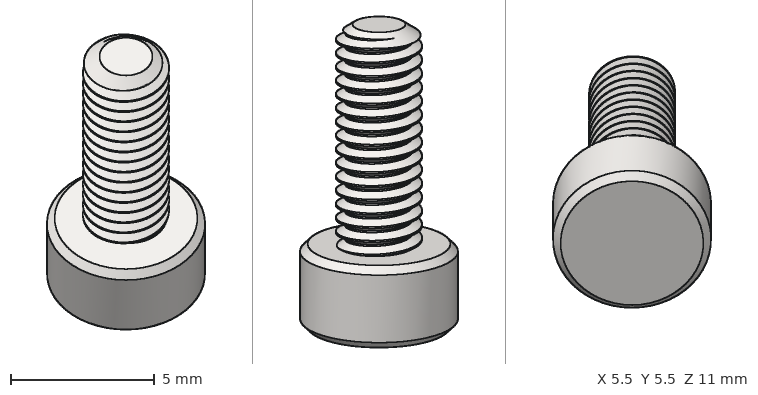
import cadquery as cq
import math

HEAD_DIAMETER = 5.5
HEAD_HEIGHT = 3.0
HEAD_CHAMFER = 0.27

SHANK_LENGTH = 8.0
TIP_DIAMETER = 1.84
TIP_CONE_ANGLE = 34.5

THREAD_DIAMETER = 3.0
PITCH = 0.5
THREAD_ANGLE = 60.0
CREST_FLAT = PITCH / 8
ROOT_FLAT = PITCH / 8

FIRST_CREST_HEIGHT = 0.35
LEAD_IN_TURNS = 2
RIDGE_START = FIRST_CREST_HEIGHT - LEAD_IN_TURNS * PITCH
STRETCH_TURNS = 2
STRETCH_HEIGHT = STRETCH_TURNS * PITCH
STRETCH_COUNT = math.ceil((SHANK_LENGTH + LEAD_IN_TURNS * PITCH) / STRETCH_HEIGHT)
RIDGE_HEIGHT = STRETCH_COUNT * STRETCH_HEIGHT

HEAD_RADIUS = HEAD_DIAMETER / 2
TIP_RADIUS = TIP_DIAMETER / 2
CREST_RADIUS = THREAD_DIAMETER / 2
FLANK_RISE = (PITCH - CREST_FLAT - ROOT_FLAT) / 2
THREAD_DEPTH = FLANK_RISE / math.tan(math.radians(THREAD_ANGLE / 2))
ROOT_RADIUS = CREST_RADIUS - THREAD_DEPTH
TIP_SLOPE = math.tan(math.radians(TIP_CONE_ANGLE))


def tip_cone_height(radius):
    """Z of the tip cone at a given radius."""
    return SHANK_LENGTH - (radius - TIP_RADIUS) * TIP_SLOPE


def make_head():
    """Plain cylinder below Z = 0, chamfered at both rims."""
    return cq.Workplane("XY").circle(HEAD_RADIUS).extrude(-HEAD_HEIGHT).edges().chamfer(HEAD_CHAMFER)


def make_core():
    """Shank at root diameter, as tall as the ridge."""
    return (
        cq.Workplane("XY", origin=(0, 0, RIDGE_START))
        .circle(ROOT_RADIUS)
        .extrude(RIDGE_HEIGHT)
    )


def make_thread_ridge():
    """Right-hand helical ridge, built from ruled faces and running past both shank ends."""
    crest_half = CREST_FLAT / 2
    base_half = crest_half + FLANK_RISE
    corners = [
        (ROOT_RADIUS, -base_half),
        (CREST_RADIUS, -crest_half),
        (CREST_RADIUS, crest_half),
        (ROOT_RADIUS, base_half),
    ]

    faces = []
    for stretch in range(STRETCH_COUNT):
        stretch_z = RIDGE_START + stretch * STRETCH_HEIGHT
        helices = [
            cq.Wire.makeHelix(PITCH, STRETCH_HEIGHT, radius, cq.Vector(0, 0, stretch_z + offset))
            for radius, offset in corners
        ]
        for index, helix in enumerate(helices):
            strip = cq.Face.makeRuledSurface(helices[index - 1], helix)
            faces.extend(strip.Faces())
    for z in (RIDGE_START, RIDGE_START + RIDGE_HEIGHT):
        outline = [cq.Vector(radius, 0, z + offset) for radius, offset in corners]
        faces.append(cq.Face.makeFromWires(cq.Wire.makePolygon(outline, close=True)))

    ridge = cq.Solid.makeSolid(cq.Shell.makeShell(faces)).fix()
    return cq.Workplane("XY").newObject([ridge])


def make_shank_envelope():
    """Space above the bearing face and under the tip cone, wider than the thread."""
    return (
        cq.Workplane("XZ")
        .lineTo(HEAD_RADIUS, 0)
        .lineTo(HEAD_RADIUS, tip_cone_height(HEAD_RADIUS))
        .lineTo(TIP_RADIUS, SHANK_LENGTH)
        .lineTo(0, SHANK_LENGTH)
        .close()
        .revolve(360, (0, 0), (0, 1))
    )


threaded_rod = make_core().union(make_thread_ridge())
threaded_shank = threaded_rod.intersect(make_shank_envelope())
result = make_head().union(threaded_shank)